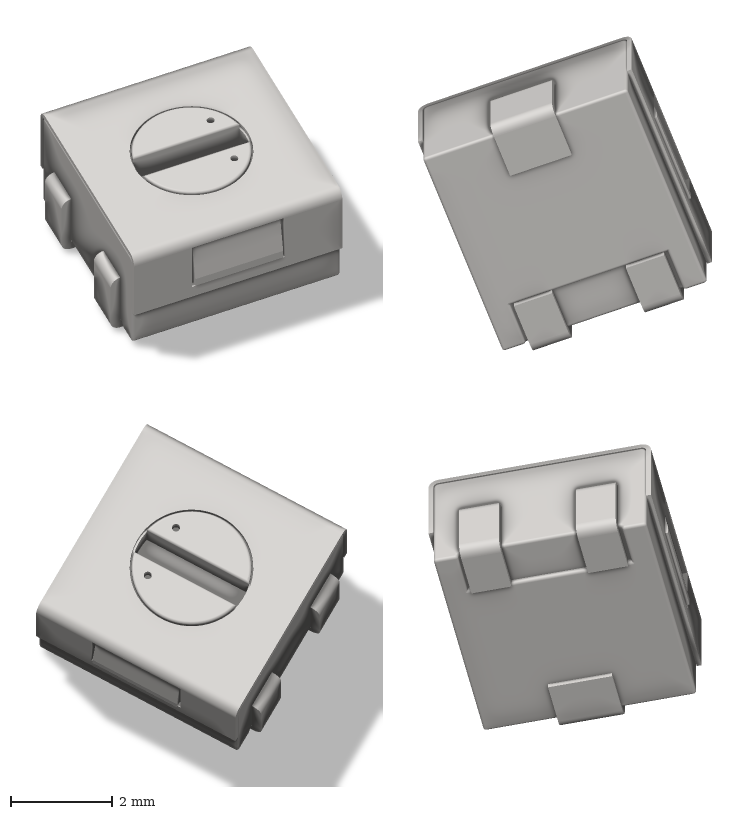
import cadquery as cq
import math

total_length = 4.92
total_height = 2.6

body_length = 4.5
cover_width = 4.5
cover_thickness = 0.1
cover_corner_radius = 0.205
cover_top = 2.56
cover_skirt_bottom = 0.965
housing_bottom = 0.1
housing_top = cover_top - cover_thickness
housing_width = cover_width - 2 * cover_thickness
housing_corner_radius = cover_corner_radius - cover_thickness
edge_radius = 0.06

lead_thickness = (total_length - body_length) / 2
lead_top = 1.405
foot_length = 0.905
foot_top = 0.195
front_lead_width = 0.805
front_lead_offset = 1.18
rear_lead_width = 1.3

recess_width = 3.325
recess_corner_radius = 0.065

bump_length = 1.9
bump_bottom = 1.3
bump_slope_start = 1.485
bump_top = 2.3
bump_reach = 0.05
window_gap = 0.055

rotor_radius = 1.18
rotor_edge_radius = 0.05
rotor_thickness = 0.8
rotor_bottom = total_height - rotor_thickness
cover_hole_radius = 1.22
slot_width = 0.51
slot_depth = 0.6
dot_radius = 0.08
dot_depth = 0.195
dot_offset_x = 0.57
dot_offset_y = 0.67


def box(x_size, y_size, z_low, z_high, x_center=0.0, y_center=0.0):
    """Upright block between two heights."""
    base = cq.Workplane("XY", origin=(x_center, y_center, z_low))
    return base.rect(x_size, y_size).extrude(z_high - z_low)


def cylinder(radius, z_low, z_high):
    """Upright cylinder on the Z axis."""
    return cq.Workplane("XY", origin=(0, 0, z_low)).circle(radius).extrude(z_high - z_low)


def make_foot_recess():
    front_face = -body_length / 2
    recess = box(recess_width, foot_length, 0, foot_top, y_center=front_face + foot_length / 2)
    return recess.edges("|Y and >Z").fillet(recess_corner_radius)


def make_housing_block():
    block = box(housing_width, body_length, housing_bottom, housing_top)
    block = block.edges("|Y and >Z").fillet(housing_corner_radius)
    block = block.cut(make_foot_recess())
    return block.faces("<Y or >Y or <Z").edges().fillet(edge_radius)


def make_cover():
    """Plate folded down over both X sides, with a rotor hole and two side windows."""
    shell = box(cover_width, body_length, cover_skirt_bottom, cover_top)
    shell = shell.edges("|Y and >Z").fillet(cover_corner_radius)
    hollow = box(housing_width, body_length, cover_skirt_bottom, housing_top)
    hollow = hollow.edges("|Y and >Z").fillet(housing_corner_radius)
    windows = box(cover_width, bump_length + 2 * window_gap,
                  bump_bottom - window_gap, bump_top + window_gap)
    rotor_hole = cylinder(cover_hole_radius, housing_top, cover_top)
    return shell.cut(hollow).cut(windows).cut(rotor_hole)


def make_snap_bump(side):
    """Wedge on one X side (side is -1 or +1), flat at its lower end."""
    wall_x = side * housing_width / 2
    outer_x = side * (cover_width / 2 + bump_reach)
    profile = [
        (wall_x, bump_bottom),
        (outer_x, bump_bottom),
        (outer_x, bump_slope_start),
        (wall_x, bump_top),
    ]
    return cq.Workplane("XZ").polyline(profile).close().extrude(bump_length / 2, both=True)


def make_lead(width, x_center, side):
    """L-shaped lead on the front (side -1) or rear (side +1) face, bent under the housing."""
    face_y = side * body_length / 2
    outer_y = face_y + side * lead_thickness
    diagonal = lead_thickness * math.sqrt(0.5)
    upper_bend_z = lead_top - lead_thickness
    lower_bend_z = lead_thickness
    toe_y = face_y - side * foot_length
    profile = cq.Workplane("YZ", origin=(x_center, 0, 0)).moveTo(face_y, lead_top)
    profile = profile.threePointArc((face_y + side * diagonal, upper_bend_z + diagonal),
                                    (outer_y, upper_bend_z))
    profile = profile.lineTo(outer_y, lower_bend_z)
    profile = profile.threePointArc((face_y + side * diagonal, lower_bend_z - diagonal), (face_y, 0))
    profile = profile.lineTo(toe_y, 0).lineTo(toe_y, foot_top).lineTo(face_y, foot_top).close()
    return profile.extrude(width / 2, both=True)


def make_housing():
    housing = make_housing_block().union(make_cover())
    for side in (-1, 1):
        housing = housing.union(make_snap_bump(side))
        housing = housing.union(make_lead(front_lead_width, side * front_lead_offset, -1))
    housing = housing.union(make_lead(rear_lead_width, 0, 1))
    return housing.cut(cylinder(rotor_radius, rotor_bottom, housing_top))


def make_rotor():
    """Round adjuster with a screwdriver slot across it and two dot marks."""
    rotor = cylinder(rotor_radius, rotor_bottom, total_height)
    slot = box(slot_width, 2 * rotor_radius, total_height - slot_depth, total_height)
    rotor = rotor.cut(slot).faces(">Z").edges().fillet(rotor_edge_radius)
    dots = cq.Workplane("XY", origin=(0, dot_offset_y, total_height))
    dots = dots.pushPoints([(-dot_offset_x, 0), (dot_offset_x, 0)])
    return rotor.cut(dots.circle(dot_radius).extrude(-dot_depth))


housing = make_housing()
rotor = make_rotor()
result = cq.Compound.makeCompound([housing.val(), rotor.val()])